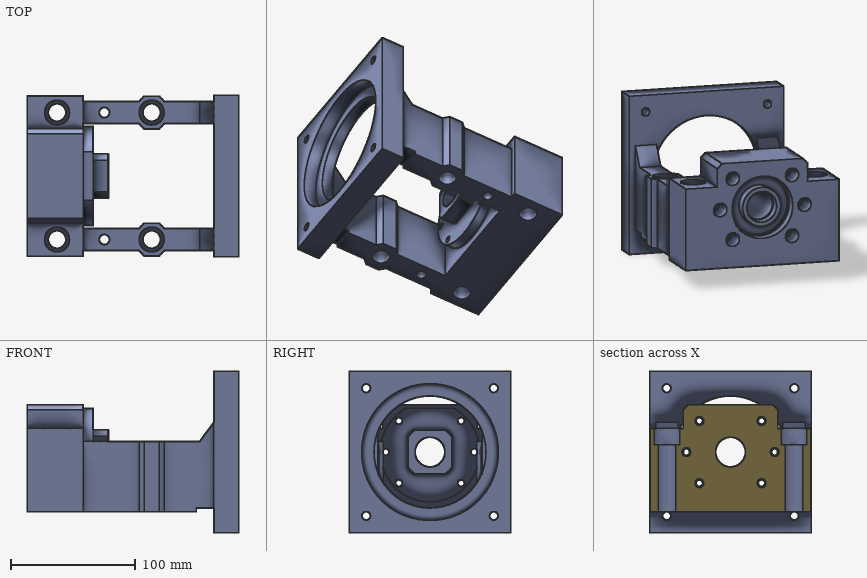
import cadquery as cq
import math


PLATE_SIZE = 130.0
PLATE_THICKNESS = 20.0
PLATE_FRONT_X = 150.0
PLATE_BACK_X = PLATE_FRONT_X + PLATE_THICKNESS
PLATE_BORE_DIAMETER = 90.0
PILOT_DIAMETER = 110.0
PILOT_DEPTH = 11.0
MOTOR_BOLT_CIRCLE = 145.0
MOTOR_HOLE_DIAMETER = 6.6

BASE_Z = -48.0
BLOCK_LENGTH = 45.0
BLOCK_WIDTH = 129.0
SHOULDER_Z = 19.0
HEAD_WIDTH = 76.0
HEAD_TOP_Z = 38.0
HEAD_CHAMFER = 4.0

FLANGE_DIAMETER = 80.0
FLANGE_THICKNESS = 8.0
FLANGE_FLAT_Z = 35.0
FLANGE_BACK_X = BLOCK_LENGTH + FLANGE_THICKNESS
NUT_DIAMETER = 44.0
NUT_ACROSS_FLATS = 36.0
NUT_LENGTH = 12.5
NUT_CHAMFER = 0.6
NUT_BACK_X = FLANGE_BACK_X + NUT_LENGTH

RECESS_DIAMETER = 51.0
RECESS_DEPTH = 10.0
RECESS_STEP_DIAMETER = 49.0
RECESS_FLOOR_X = 12.0
SLEEVE_DIAMETER = 32.0
SLEEVE_SETBACK = 2.0
BORE_DIAMETER = 23.7
BORE_ENTRY_DIAMETER = 25.0
BORE_ENTRY_END_X = 11.0

SCREW_SQUARE_HALF = 25.0
SCREW_SIDE_Y = 35.5
SCREW_HEAD_DIAMETER = 11.0
SCREW_HEAD_DEPTH = 20.0
SCREW_CLEARANCE_DIAMETER = 6.6
SCREW_CLEARANCE_END_X = BLOCK_LENGTH
SCREW_CORE_DIAMETER = 5.2

ARM_Y = 51.0
ARM_WIDTH = 17.8
ARM_TOP_Z = 8.5
GUSSET_START_X = 138.5
GUSSET_TOP_Z = 24.0
NOTCH_START_X = 136.0
NOTCH_HEIGHT = 3.0

BOSS_X = 100.0
BOSS_LENGTH = 20.0
BOSS_WIDTH = 26.5
BOSS_CHAMFER = 4.0
BLOCK_BOLT_X = 24.0
BOLT_HEAD_DIAMETER = 20.0
BOLT_HEAD_DEPTH = 13.0
BOLT_HOLE_DIAMETER = 14.0
PIN_X = 62.0
PIN_DIAMETER = 8.0


def box(x_start, x_end, y_center, width, z_bottom, z_top):
    """Axis-aligned box."""
    length = x_end - x_start
    height = z_top - z_bottom
    return (
        cq.Workplane("XY")
        .box(length, width, height, centered=(False, True, False))
        .translate((x_start, y_center, z_bottom))
    )


def rod_x(diameter, x_start, x_end, y=0.0, z=0.0):
    """Cylinder running along X."""
    return (
        cq.Workplane("YZ", origin=(x_start, y, z))
        .circle(diameter / 2)
        .extrude(x_end - x_start)
    )


def rod_z(diameter, x, y, z_bottom, z_top):
    """Cylinder running along Z."""
    return (
        cq.Workplane("XY", origin=(x, y, z_bottom))
        .circle(diameter / 2)
        .extrude(z_top - z_bottom)
    )


def motor_plate():
    """Square plate with a stepped centre bore and four corner holes."""
    half_size = PLATE_SIZE / 2
    plate = box(PLATE_FRONT_X, PLATE_BACK_X, 0, PLATE_SIZE, -half_size, half_size)
    plate = plate.cut(rod_x(PLATE_BORE_DIAMETER, PLATE_FRONT_X, PLATE_BACK_X))
    plate = plate.cut(rod_x(PILOT_DIAMETER, PLATE_BACK_X - PILOT_DEPTH, PLATE_BACK_X))
    offset = MOTOR_BOLT_CIRCLE / 2 / math.sqrt(2)
    for y in (-offset, offset):
        for z in (-offset, offset):
            plate = plate.cut(rod_x(MOTOR_HOLE_DIAMETER, PLATE_FRONT_X, PLATE_BACK_X, y, z))
    return plate


def bearing_block():
    """Wide base with a narrower head, chamfered along its top edges."""
    base = box(0, BLOCK_LENGTH, 0, BLOCK_WIDTH, BASE_Z, SHOULDER_Z)
    head = box(0, BLOCK_LENGTH, 0, HEAD_WIDTH, BASE_Z, HEAD_TOP_Z)
    head = head.edges("|X and >Z").chamfer(HEAD_CHAMFER)
    return base.union(head)


def bearing_flange():
    """Round flange with a flat on top."""
    disc = rod_x(FLANGE_DIAMETER, BLOCK_LENGTH, FLANGE_BACK_X)
    radius = FLANGE_DIAMETER / 2
    return disc.intersect(
        box(BLOCK_LENGTH, FLANGE_BACK_X, 0, FLANGE_DIAMETER, -radius, FLANGE_FLAT_Z)
    )


def lock_nut():
    """Round nut with four flats and a chamfered back rim."""
    half_flats = NUT_ACROSS_FLATS / 2
    nut = rod_x(NUT_DIAMETER, FLANGE_BACK_X, NUT_BACK_X)
    nut = nut.intersect(
        box(FLANGE_BACK_X, NUT_BACK_X, 0, NUT_ACROSS_FLATS, -half_flats, half_flats)
    )
    return nut.faces(">X").chamfer(NUT_CHAMFER)


def side_arm(y):
    """Arm from block to plate, with a gusset on top and a notch below at the plate end."""
    profile = [
        (BLOCK_LENGTH, BASE_Z),
        (NOTCH_START_X, BASE_Z),
        (NOTCH_START_X, BASE_Z + NOTCH_HEIGHT),
        (PLATE_FRONT_X, BASE_Z + NOTCH_HEIGHT),
        (PLATE_FRONT_X, GUSSET_TOP_Z),
        (GUSSET_START_X, ARM_TOP_Z),
        (BLOCK_LENGTH, ARM_TOP_Z),
    ]
    web = (
        cq.Workplane("XZ", origin=(0, y, 0))
        .polyline(profile)
        .close()
        .extrude(ARM_WIDTH / 2, both=True)
    )
    boss_start = BOSS_X - BOSS_LENGTH / 2
    boss_end = BOSS_X + BOSS_LENGTH / 2
    boss = box(boss_start, boss_end, y, BOSS_WIDTH, BASE_Z, ARM_TOP_Z)
    boss = boss.edges("|Z").chamfer(BOSS_CHAMFER)
    return web.union(boss)


def bolt_hole(x, y, top_z):
    """Counterbored vertical bolt hole."""
    hole = rod_z(BOLT_HOLE_DIAMETER, x, y, BASE_Z, top_z)
    return hole.union(rod_z(BOLT_HEAD_DIAMETER, x, y, top_z - BOLT_HEAD_DEPTH, top_z))


def shaft_passage():
    """Stepped recess around a sleeve, and the stepped bore through the sleeve and nut."""
    recess = rod_x(RECESS_DIAMETER, 0, RECESS_DEPTH)
    recess = recess.union(rod_x(RECESS_STEP_DIAMETER, 0, RECESS_FLOOR_X))
    recess = recess.cut(rod_x(SLEEVE_DIAMETER, SLEEVE_SETBACK, RECESS_FLOOR_X))
    entry = rod_x(BORE_ENTRY_DIAMETER, 0, BORE_ENTRY_END_X)
    bore = rod_x(BORE_DIAMETER, 0, NUT_BACK_X)
    return recess.union(entry).union(bore)


def screw_hole(y, z):
    """Counterbored bearing screw hole, narrowing in the flange."""
    head = rod_x(SCREW_HEAD_DIAMETER, 0, SCREW_HEAD_DEPTH, y, z)
    clearance = rod_x(SCREW_CLEARANCE_DIAMETER, 0, SCREW_CLEARANCE_END_X, y, z)
    core = rod_x(SCREW_CORE_DIAMETER, 0, FLANGE_BACK_X, y, z)
    return head.union(clearance).union(core)


body = bearing_block().union(bearing_flange()).union(lock_nut()).union(motor_plate())
for arm_y in (-ARM_Y, ARM_Y):
    body = body.union(side_arm(arm_y))
    body = body.cut(bolt_hole(BLOCK_BOLT_X, arm_y, SHOULDER_Z))
    body = body.cut(bolt_hole(BOSS_X, arm_y, ARM_TOP_Z))
    body = body.cut(rod_z(PIN_DIAMETER, PIN_X, arm_y, BASE_Z, ARM_TOP_Z))

body = body.cut(shaft_passage())
for side in (-1, 1):
    body = body.cut(screw_hole(side * SCREW_SIDE_Y, 0))
    for level in (-1, 1):
        body = body.cut(screw_hole(side * SCREW_SQUARE_HALF, level * SCREW_SQUARE_HALF))

result = body